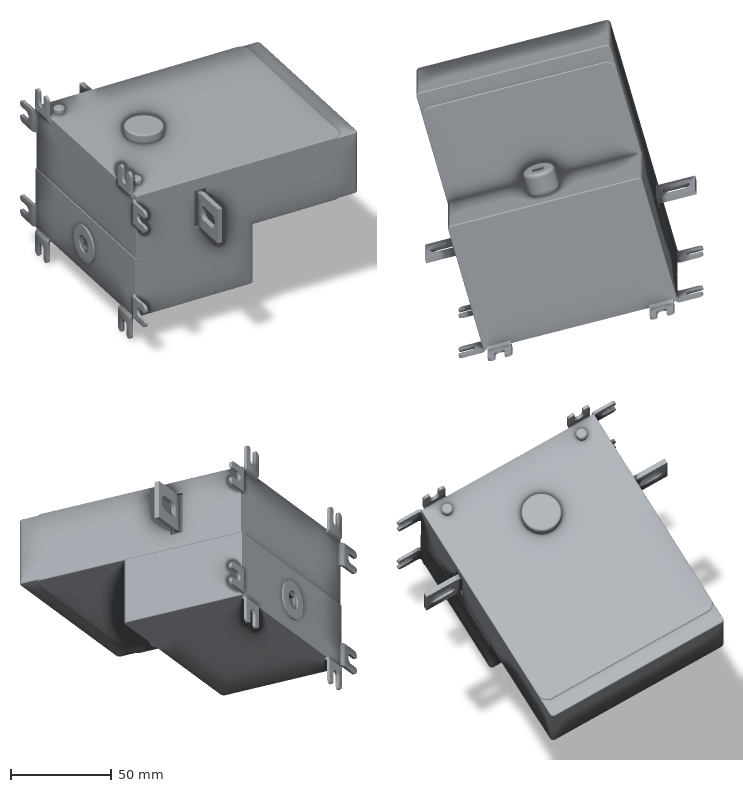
import cadquery as cq
import math


half_width = 50.3
edge_round = 0.5
back_corner_radius = 2.0

upper_front = 2.1
upper_back = 129.9
upper_height = 36.5
cover_step = 0.5
cover_back = 121.5
cover_corner_radius = 5.0

lower_front = 1.5
lower_back = 70.0
lower_height = 34.5

tab_thickness = 1.5
tab_width = 12.5
tab_flat_length = 11.9
tab_bend_inner_radius = 0.7
tab_slope_length = 3.1
tab_bend_angle = math.radians(45)
fork_width = 5.0
fork_depth = 8.7
fork_outer_round = 2.4
fork_inner_round = 1.3
vertical_tab_x = 42.0
upper_tab_z = 27.9
lower_tab_z = -27.3
side_tab_offset = 1.1
top_tab_offset = 0.4
bottom_tab_offset = 1.8

lug_tip_x = 70.0
lug_thickness = 2.5
lug_height = 19.7
lug_y = 39.2
lug_z = 18.6
lug_slot_length = 14.0
lug_slot_width = 8.0
lug_slot_margin = 2.7
lug_slot_inner_round = 3.0
lug_neck_length = 1.1
lug_neck_chamfer = 0.5
recess_depth = 1.5
recess_width = 7.0
recess_height = 21.7

button_diameter = 20.0
button_height = 5.3
button_y = 35.1
button_round = 1.0
pin_diameter = 5.9
pin_height = 3.2
pin_x = 39.0
pin_y = 8.7
pin_round = 1.1

shaft_z = -17.4
disc_diameter = 20.0
disc_front = 0.5
hub_diameter = 9.5
hub_depth = 1.0
socket_side = 5.9
shaft_diameter = 16.1
shaft_back = 81.9
shaft_round = 2.0


def block(x_half, front, back, bottom, top):
    """Box symmetric about X = 0, from front to back and from bottom to top."""
    return cq.Workplane("XY").box(
        2 * x_half, back - front, top - bottom, centered=(True, False, False)
    ).translate((0, front, bottom))


def cylinder_y(diameter, front, back):
    """Cylinder on the shaft axis, running along +Y from front to back."""
    return (
        cq.Workplane("XZ", origin=(0, front, shaft_z))
        .circle(diameter / 2)
        .extrude(front - back)
    )


def upper_box():
    body = block(half_width, upper_front, upper_back, cover_step, upper_height - cover_step)
    body = body.edges("|Z and >Y").fillet(back_corner_radius)
    body = body.faces(">Z or <Z").edges("not <Y").fillet(edge_round)
    covers = block(half_width, upper_front, cover_back, 0, upper_height)
    covers = covers.edges("|Z and >Y").fillet(cover_corner_radius)
    covers = covers.faces(">Z or <Z").edges("not <Y").fillet(edge_round)
    return body.union(covers)


def lower_box():
    body = block(half_width, lower_front, lower_back, -lower_height, 0)
    body = body.edges("|Z and >Y").fillet(back_corner_radius)
    return body.faces("<Z").edges("not <Y").fillet(edge_round)


def forked_tab():
    """Tab pointing along +X with its bend starting at X = 0 and its front at Y = 0."""
    sine = math.sin(tab_bend_angle)
    cosine = math.cos(tab_bend_angle)
    outer_radius = tab_bend_inner_radius + tab_thickness

    def bend_point(radius, fraction):
        angle = tab_bend_angle * fraction
        return (-radius * math.sin(angle), outer_radius - radius * math.cos(angle))

    def slope_end(radius):
        x, y = bend_point(radius, 1)
        return (x - tab_slope_length * cosine, y + tab_slope_length * sine)

    strip = (
        cq.Workplane("XY")
        .moveTo(tab_flat_length, 0)
        .lineTo(0, 0)
        .threePointArc(bend_point(outer_radius, 0.5), bend_point(outer_radius, 1))
        .lineTo(*slope_end(outer_radius))
        .lineTo(*slope_end(tab_bend_inner_radius))
        .lineTo(*bend_point(tab_bend_inner_radius, 1))
        .threePointArc(bend_point(tab_bend_inner_radius, 0.5), (0, tab_thickness))
        .lineTo(tab_flat_length, tab_thickness)
        .close()
        .extrude(tab_width / 2, both=True)
    )
    fork_slot = (
        cq.Workplane("XZ", origin=(tab_flat_length, 0, 0))
        .slot2D(2 * fork_depth, fork_width)
        .extrude(-tab_thickness)
    )
    tab = strip.edges("|Y and >X").fillet(fork_outer_round).cut(fork_slot)
    outer_round_start = tab_width / 2 - fork_outer_round
    mouth_limit = (fork_width / 2 + outer_round_start) / 2
    mouth = tab.faces(">X").edges("|Y").filter(lambda edge: abs(edge.Center().z) < mouth_limit)
    return mouth.fillet(fork_inner_round)


def mounting_tabs():
    tab = forked_tab()
    origin, y_axis = (0, 0, 0), (0, 1, 0)
    up = tab.rotate(origin, y_axis, -90)
    down = tab.rotate(origin, y_axis, 90)
    left = tab.rotate(origin, y_axis, 180)
    side_x = half_width + side_tab_offset
    tabs = []
    for x in (-vertical_tab_x, vertical_tab_x):
        tabs.append(up.translate((x, 0, upper_height + top_tab_offset)))
        tabs.append(down.translate((x, 0, -lower_height - bottom_tab_offset)))
    for z in (lower_tab_z, upper_tab_z):
        tabs.append(tab.translate((side_x, 0, z)))
        tabs.append(left.translate((-side_x, 0, z)))
    return tabs


def right_lug():
    """Slotted lug on the +X wall, narrowed in height where it enters the recess."""
    root_x = half_width - recess_depth
    neck_end = half_width + lug_neck_length
    shoulder = neck_end + lug_neck_chamfer
    half_height = lug_height / 2
    neck_half = half_height - lug_neck_chamfer
    slot_outer = lug_tip_x - lug_slot_margin
    slot_inner = slot_outer - lug_slot_length
    plate = (
        cq.Workplane("XZ", origin=(0, lug_y, lug_z))
        .polyline([
            (root_x, -neck_half),
            (neck_end, -neck_half),
            (shoulder, -half_height),
            (lug_tip_x, -half_height),
            (lug_tip_x, half_height),
            (shoulder, half_height),
            (neck_end, neck_half),
            (root_x, neck_half),
        ])
        .close()
        .extrude(lug_thickness / 2, both=True)
    )
    half_slot = lug_slot_width / 2
    arc_x = slot_outer - half_slot
    slot = (
        cq.Workplane("XZ", origin=(0, lug_y, lug_z))
        .moveTo(slot_inner, -half_slot)
        .lineTo(arc_x, -half_slot)
        .threePointArc((slot_outer, 0), (arc_x, half_slot))
        .lineTo(slot_inner, half_slot)
        .close()
        .extrude(lug_thickness, both=True)
    )
    slot = slot.faces("<X").edges("|Y").fillet(lug_slot_inner_round)
    return plate.cut(slot)


def lug_recesses():
    """Blocks to cut from the two side walls; half of each block lies inside its wall."""
    recess = cq.Workplane("XY").box(2 * recess_depth, recess_width, recess_height)
    right = recess.translate((half_width, lug_y, lug_z))
    return right.union(right.mirror("YZ"))


def top_stud(diameter, height, rounding, x, y):
    return (
        cq.Workplane("XY", origin=(x, y, upper_height))
        .circle(diameter / 2)
        .extrude(height)
        .faces(">Z")
        .edges()
        .fillet(rounding)
    )


def shaft():
    disc = cylinder_y(disc_diameter, disc_front, lower_back)
    stub = cylinder_y(shaft_diameter, lower_front, shaft_back)
    stub = stub.faces(">Y").edges().fillet(shaft_round)
    return disc.union(stub)


def shaft_socket():
    hub = cylinder_y(hub_diameter, disc_front, disc_front + hub_depth)
    socket = (
        cq.Workplane("XZ", origin=(0, disc_front, shaft_z))
        .rect(socket_side, socket_side)
        .extrude(disc_front - shaft_back)
    )
    return hub.union(socket)


result = upper_box().union(lower_box()).cut(lug_recesses())

lug = right_lug()
result = result.union(lug).union(lug.mirror("YZ"))

for mounting_tab in mounting_tabs():
    result = result.union(mounting_tab)

result = result.union(top_stud(button_diameter, button_height, button_round, 0, button_y))
for x_position in (-pin_x, pin_x):
    result = result.union(top_stud(pin_diameter, pin_height, pin_round, x_position, pin_y))

result = result.union(shaft()).cut(shaft_socket())